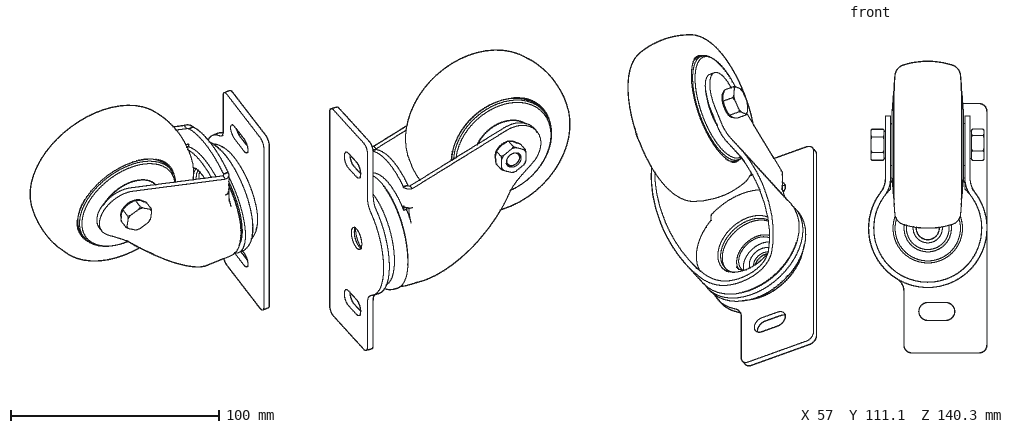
import cadquery as cq
import math


plate_height = 120.0
plate_thickness = 3.1
plate_left = -11.5
plate_corner_radius = 3.9
neck_fillet_radius = 7.0
slot_length = 17.1
slot_width = 8.5
slot_center_x = 4.4
slot_spacing = 80.0
center_hole_diameter = 11.0
countersink_diameter = 14.0

swivel_radius = 28.5

race_back_radius = 22.5
race_bulge_radius = 24.3
race_bulge_depth = 4.8
race_step_depth = 7.5
race_step_radius = 25.4
race_shoulder_radius = 27.4
race_shoulder_depth = 8.7
race_rim_start_depth = 11.1
race_rim_end_depth = 13.2
race_bore_radius = 10.2
race_ledge_depth = 7.7
race_mouth_radius = 11.4
race_mouth_rounding = 3.6

sheet = 2.5
fork_back_depth = 14.0
seat_fillet_radius = 3.8
seat_front_depth = 21.2
seat_mouth_radius = 16.7
seat_mouth_rounding = 4.6
seat_bore_radius = 15.7
web_depth = 16.4
web_shoulder_z = 35.5
web_crown_z = 40.0
arm_outer_x = 20.3
arm_flat_z = 24.1
arm_end_radius = 13.9
arm_end_depth = 75.2
arm_top_angle = 19.5
bend_radius = 3.2
wall_foot_depth = 24.0
wall_foot_fillet = 11.9
wall_cut_angle = 41.8

wheel_diameter = 80.4
axle_z = 40.1
axle_depth = 70.9
tread_edge_x = 11.5
tread_edge_radius = 38.5
shoulder_x = 14.6
shoulder_radius = 36.3
side_x = 15.9
side_radius = 32.7
lip_x = 16.1
lip_radius = 29.3
lip_fillet = 2.2
hub_radius = 26.5
hub_chamfer = 0.8
hub_rim_x = 16.4
boss_radius = 16.1
boss_x = 17.1
boss_step = 0.1
spacer_radius = 10.1

bolt_diameter = 8.0
hex_flats = 13.0
hex_corner_chamfer = 0.5
washer_face = 0.5
head_end_x = 27.1
nut_end_x = 27.4
head_turn = -7.0
bolt_end_recess = 0.7
bolt_end_chamfer = 0.5

wheel_radius = wheel_diameter / 2
bolt_radius = bolt_diameter / 2
arm_inner_x = arm_outer_x - sheet
cup_inner_radius = swivel_radius - sheet
cup_wall_depth = fork_back_depth + seat_fillet_radius
web_front_depth = web_depth + sheet
bend_end_depth = web_depth + bend_radius
web_half_width = arm_outer_x - bend_radius
fork_reach_depth = arm_end_depth + arm_end_radius
arm_top_z = axle_z + arm_end_radius

angle_tolerance = 0.01


def front_plane(depth):
    """Plane facing -Y at a depth, with X right and Z up; extruding goes away from the plate."""
    return cq.Workplane("XZ").workplane(offset=depth)


def disc(radius, start_depth, end_depth):
    return front_plane(start_depth).circle(radius).extrude(end_depth - start_depth)


def swivel_cone(start_radius, start_depth, end_radius, end_depth):
    """Cone about the swivel axis."""
    profile = [(0, -start_depth), (start_radius, -start_depth), (end_radius, -end_depth), (0, -end_depth)]
    return cq.Workplane("XY").polyline(profile).close().revolve(360, (0, 0, 0), (0, 1, 0))


def rounded_mouth(radius, rounding, face_depth):
    """Space inside a hole whose front rim is rounded over."""
    corner = rounding * (1 - math.sqrt(0.5))
    profile = (
        cq.Workplane("XY")
        .moveTo(0, -face_depth)
        .lineTo(radius + rounding, -face_depth)
        .threePointArc((radius + corner, corner - face_depth), (radius, rounding - face_depth))
        .lineTo(0, rounding - face_depth)
        .close()
    )
    return profile.revolve(360, (0, 0, 0), (0, 1, 0))


def axle_cylinder(radius, start_x, end_x):
    plane = cq.Workplane("YZ", origin=(start_x, -axle_depth, axle_z))
    return plane.circle(radius).extrude(end_x - start_x)


def make_plate():
    strip = (
        cq.Workplane("XZ")
        .moveTo((plate_left + swivel_radius) / 2, 0)
        .rect(swivel_radius - plate_left, plate_height)
        .extrude(plate_thickness)
        .edges("|Y")
        .fillet(plate_corner_radius)
    )
    plate = strip.union(disc(swivel_radius, 0, plate_thickness))
    junction_z = math.sqrt(swivel_radius**2 - plate_left**2)
    for z in (-junction_z, junction_z):
        junction = cq.selectors.NearestToPointSelector((plate_left, -plate_thickness / 2, z))
        plate = plate.edges("|Y").edges(junction).fillet(neck_fillet_radius)
    slots = (
        cq.Workplane("XZ")
        .pushPoints([(slot_center_x, side * slot_spacing / 2) for side in (-1, 1)])
        .slot2D(slot_length, slot_width)
        .extrude(plate_thickness)
    )
    hole_radius = center_hole_diameter / 2
    countersink_radius = countersink_diameter / 2
    countersink_depth = countersink_radius - hole_radius
    plate = plate.cut(slots).cut(disc(hole_radius, 0, plate_thickness))
    return plate.cut(swivel_cone(
        hole_radius, plate_thickness - countersink_depth, countersink_radius, plate_thickness
    ))


def make_race():
    profile = (
        cq.Workplane("XY")
        .moveTo(race_bore_radius, -plate_thickness)
        .lineTo(race_back_radius, -plate_thickness)
        .threePointArc((race_bulge_radius, -race_bulge_depth), (race_step_radius, -race_step_depth))
        .threePointArc((race_shoulder_radius, -race_shoulder_depth), (swivel_radius, -race_rim_start_depth))
        .lineTo(swivel_radius, -race_rim_end_depth)
        .lineTo(race_step_radius, -race_rim_end_depth)
        .lineTo(race_step_radius, -fork_back_depth)
        .lineTo(race_bore_radius, -fork_back_depth)
        .close()
    )
    race = profile.revolve(360, (0, 0, 0), (0, 1, 0))
    race = race.cut(disc(race_mouth_radius, race_ledge_depth, fork_back_depth))
    return race.cut(rounded_mouth(race_mouth_radius, race_mouth_rounding, fork_back_depth))


def keyhole_outline(plane):
    """Outside of the fork: straight arms that flow through concave arcs into the round cup."""
    neck_radius = (arm_outer_x**2 + arm_flat_z**2 - swivel_radius**2) / (2 * (swivel_radius - arm_outer_x))
    neck_x = arm_outer_x + neck_radius
    sweep = math.atan2(arm_flat_z, neck_x)
    join_x = swivel_radius * math.cos(sweep)
    join_z = swivel_radius * math.sin(sweep)
    middle_x = neck_x - neck_radius * math.cos(sweep / 2)
    middle_z = arm_flat_z - neck_radius * math.sin(sweep / 2)
    return (
        plane.moveTo(arm_outer_x, arm_top_z)
        .lineTo(arm_outer_x, arm_flat_z)
        .threePointArc((middle_x, middle_z), (join_x, join_z))
        .threePointArc((0, -swivel_radius), (-join_x, join_z))
        .threePointArc((-middle_x, middle_z), (-arm_outer_x, arm_flat_z))
        .lineTo(-arm_outer_x, arm_top_z)
        .close()
    )


def is_wall_outside(face):
    """True for faces that run parallel to Y and do not point straight up."""
    normal = face.normalAt()
    return abs(normal.y) < angle_tolerance and normal.z < 1 - angle_tolerance


def make_fork_wall():
    """Cup wall below and the flat arms above, with edges cut square to the sheet."""
    outline = keyhole_outline(front_plane(cup_wall_depth))
    block = outline.extrude(fork_reach_depth - cup_wall_depth).intersect(make_fork_side_trim())
    wall = cq.Workplane("XY")
    for face in filter(is_wall_outside, block.faces().vals()):
        wall = wall.union(cq.Workplane(face.thicken(-sheet)))
    corner = cq.Workplane("XY").box(
        2 * arm_outer_x, bend_end_depth, arm_top_z, centered=(True, False, False)
    )
    return wall.cut(corner.translate((0, -bend_end_depth, arm_flat_z)))


def make_channel():
    """Back web bent round into the arms."""
    height = arm_top_z - arm_flat_z
    base = cq.Workplane("XY").workplane(offset=arm_flat_z)
    length = fork_reach_depth - web_depth
    outer = (
        base.moveTo(0, -web_depth - length / 2)
        .rect(2 * arm_outer_x, length)
        .extrude(height)
        .edges("|Z and >Y")
        .fillet(bend_radius)
    )
    inner = (
        base.moveTo(0, -web_front_depth - length / 2)
        .rect(2 * arm_inner_x, length)
        .extrude(height)
        .edges("|Z and >Y")
        .fillet(bend_radius - sheet)
    )
    return outer.cut(inner)


def make_fork_side_trim():
    """Side outline of the fork: rounded arm ends and a slanted lower edge."""
    top = math.radians(arm_top_angle)
    cut = math.radians(wall_cut_angle)
    top_tangent = (arm_end_depth - arm_end_radius * math.sin(top), axle_z + arm_end_radius * math.cos(top))
    low_tangent = (arm_end_depth + arm_end_radius * math.sin(cut), axle_z - arm_end_radius * math.cos(cut))
    arm_start_z = top_tangent[1] - (top_tangent[0] - bend_end_depth) * math.tan(top)
    corner_z = low_tangent[1] - (low_tangent[0] - wall_foot_depth) * math.tan(cut)
    tangent_length = wall_foot_fillet * math.tan((math.pi / 2 - cut) / 2)
    slant_end = (
        wall_foot_depth + tangent_length * math.cos(cut),
        corner_z + tangent_length * math.sin(cut),
    )
    foot = (wall_foot_depth, corner_z - tangent_length)
    half_turn = (math.pi / 2 - cut) / 2
    foot_middle = (
        foot[0] + wall_foot_fillet * (1 - math.cos(half_turn)),
        foot[1] + wall_foot_fillet * math.sin(half_turn),
    )

    def at(point):
        return (-point[0], point[1])

    outline = (
        cq.Workplane("YZ")
        .moveTo(-fork_back_depth, foot[1])
        .lineTo(-fork_back_depth, arm_start_z)
        .lineTo(-bend_end_depth, arm_start_z)
        .lineTo(*at(top_tangent))
        .threePointArc((-fork_reach_depth, axle_z), at(low_tangent))
        .lineTo(*at(slant_end))
        .threePointArc(at(foot_middle), at(foot))
        .close()
    )
    return outline.extrude(swivel_radius, both=True)


def make_web():
    """Flat back web, from the seat up to its crowned top edge."""
    return (
        front_plane(web_depth)
        .moveTo(-web_half_width, 0)
        .lineTo(-web_half_width, web_shoulder_z)
        .threePointArc((0, web_crown_z), (web_half_width, web_shoulder_z))
        .lineTo(web_half_width, 0)
        .close()
        .extrude(sheet)
    )


def make_seat():
    """Round floor of the fork that sits on the race, raised inside the fork."""
    base = disc(swivel_radius, fork_back_depth, seat_front_depth)
    base = base.faces(">Y").edges().fillet(seat_fillet_radius)
    base = base.intersect(disc(swivel_radius, fork_back_depth, cup_wall_depth))
    raised = disc(cup_inner_radius, fork_back_depth, seat_front_depth)
    upper_window = (
        front_plane(web_depth)
        .moveTo(0, swivel_radius / 2)
        .rect(2 * arm_inner_x, swivel_radius)
        .extrude(seat_front_depth - web_depth)
    )
    upper = disc(swivel_radius, web_depth, seat_front_depth).intersect(upper_window)
    return base.union(raised).union(upper)


def make_fork():
    fork = make_fork_wall().union(make_channel().intersect(make_fork_side_trim()))
    fork = fork.union(make_web()).union(make_seat())
    mouth_depth = seat_front_depth - seat_mouth_rounding
    bevel_depth = mouth_depth - (seat_mouth_radius - seat_bore_radius)
    fork = fork.cut(disc(seat_bore_radius, fork_back_depth, seat_front_depth))
    fork = fork.cut(swivel_cone(seat_bore_radius, bevel_depth, seat_mouth_radius, mouth_depth))
    fork = fork.cut(rounded_mouth(seat_mouth_radius, seat_mouth_rounding, seat_front_depth))
    return fork.cut(axle_cylinder(bolt_radius, -arm_outer_x, arm_outer_x))


def make_wheel():
    groove_x = lip_x - lip_fillet
    groove_radius = lip_radius - lip_fillet
    lip_middle = (groove_x + lip_fillet * math.sqrt(0.5), lip_radius - lip_fillet * math.sqrt(0.5))
    hub_steps = [
        (groove_x, hub_radius),
        (hub_rim_x - hub_chamfer, hub_radius),
        (hub_rim_x, hub_radius - hub_chamfer),
        (boss_x, boss_radius + boss_step),
        (boss_x + boss_step, boss_radius),
        (boss_x + boss_step, spacer_radius),
        (arm_inner_x, spacer_radius),
        (arm_inner_x, bolt_radius),
    ]

    def mirrored(point):
        return (-point[0], point[1])

    section = (
        cq.Workplane("XY")
        .moveTo(-tread_edge_x, tread_edge_radius)
        .threePointArc((0, wheel_radius), (tread_edge_x, tread_edge_radius))
        .threePointArc((shoulder_x, shoulder_radius), (side_x, side_radius))
        .lineTo(lip_x, lip_radius)
        .threePointArc(lip_middle, (groove_x, groove_radius))
    )
    for step in hub_steps + [mirrored(step) for step in reversed(hub_steps)]:
        section = section.lineTo(*step)
    section = (
        section.lineTo(-groove_x, groove_radius)
        .threePointArc(mirrored(lip_middle), (-lip_x, lip_radius))
        .lineTo(-side_x, side_radius)
        .threePointArc((-shoulder_x, shoulder_radius), (-tread_edge_x, tread_edge_radius))
        .close()
    )
    wheel = section.revolve(360, (0, 0, 0), (1, 0, 0))
    return wheel.translate((0, -axle_depth, axle_z))


def hexagon(start_x, end_x, turn):
    """Hexagon on the axle with bevelled corners and one corner up, turned about the axle."""
    corner_diameter = hex_flats / math.cos(math.pi / 6)
    plane = cq.Workplane("YZ", origin=(start_x, -axle_depth, axle_z))
    prism = plane.transformed(rotate=(0, 0, 90 + turn)).polygon(6, corner_diameter).extrude(end_x - start_x)
    envelope = axle_cylinder(corner_diameter / 2, start_x, end_x)
    return prism.intersect(envelope.edges("%CIRCLE").chamfer(hex_corner_chamfer))


def make_bolt():
    head_start_x = arm_outer_x + washer_face
    shank = axle_cylinder(bolt_radius, -nut_end_x + bolt_end_recess, head_start_x)
    shank = shank.faces("<X").chamfer(bolt_end_chamfer)
    collar = axle_cylinder(hex_flats / 2, arm_outer_x, head_start_x)
    return shank.union(collar).union(hexagon(head_start_x, head_end_x, head_turn))


def make_nut():
    nut_start_x = arm_outer_x + washer_face
    collar = axle_cylinder(hex_flats / 2, -nut_start_x, -arm_outer_x)
    nut = hexagon(-nut_end_x, -nut_start_x, 0).union(collar)
    return nut.cut(axle_cylinder(bolt_radius, -nut_end_x, -arm_outer_x))


plate = make_plate()
race = make_race()
fork = make_fork()
wheel = make_wheel()
bolt = make_bolt()
nut = make_nut()

result = cq.Compound.makeCompound([
    plate.val(),
    race.val(),
    fork.val(),
    wheel.val(),
    bolt.val(),
    nut.val(),
])